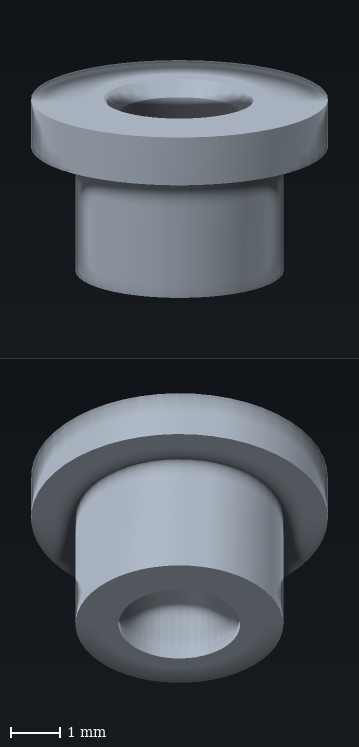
import cadquery as cq

flange_diameter = 6.0
flange_thickness = 1.0
sleeve_diameter = 4.2
total_height = 3.6
bore_diameter = 2.46
bore_chamfer = 0.3

sleeve_length = total_height - flange_thickness


def make_body():
    """Solid sleeve with the flange on top."""
    sleeve = cq.Workplane("XY").circle(sleeve_diameter / 2).extrude(sleeve_length)
    flange = (
        cq.Workplane("XY")
        .workplane(offset=sleeve_length)
        .circle(flange_diameter / 2)
        .extrude(flange_thickness)
    )
    return sleeve.union(flange)


def cut_bore(body):
    """Through bore along the axis, chamfered where it meets the flange face."""
    bored = body.faces(">Z").workplane().hole(bore_diameter)
    bore_rim = bored.faces(">Z").wires().edges(cq.selectors.RadiusNthSelector(0))
    return bore_rim.chamfer(bore_chamfer)


result = cut_bore(make_body())